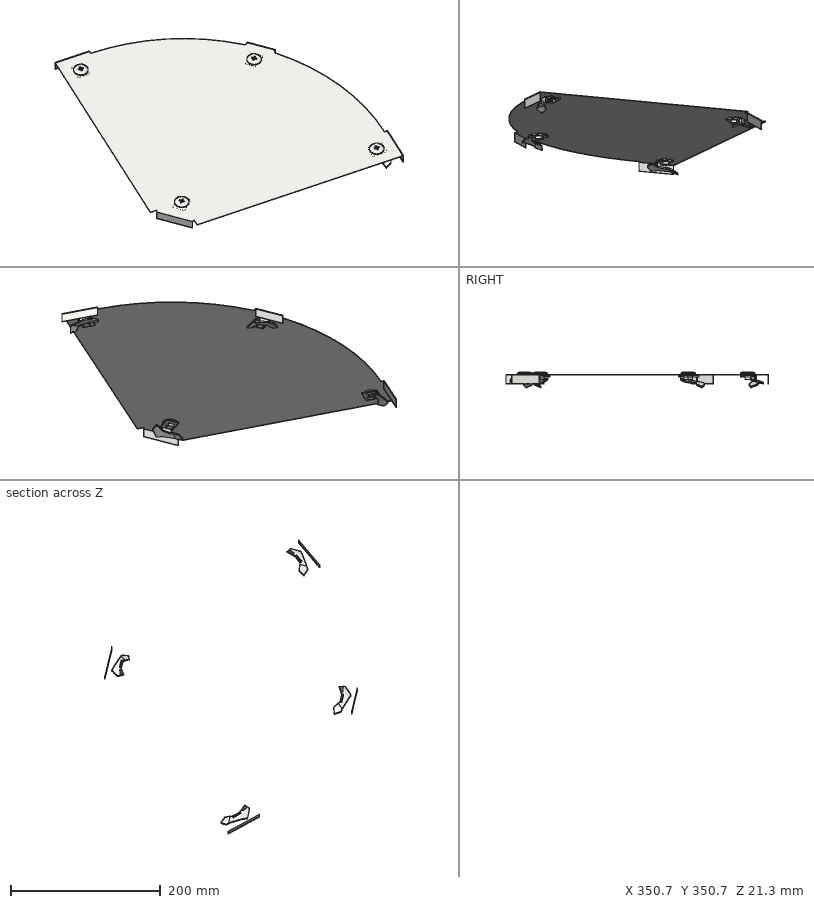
import cadquery as cq
import math

SIDE = 350.7

SHEET = 0.7
END_TAB_WIDTH = 50.5
ARC_RADIUS = 295.5
ARC_CENTRE = (SIDE - END_TAB_WIDTH, END_TAB_WIDTH)
DIAGONAL_TAB_REACH = 300.5
DIAGONAL_TAB_WIDTH = 40.0
NOTCH_FILLET = 3.5
FLANGE_DEPTH = 12.5
DIAGONAL_DIRECTION = 135
INNER_STEP = 47.0
INNER_LIP = 9.0
INNER_EDGE_INSET = 7.7
INNER_EDGE_END = 44.0

CORNER_INSET = 25.3
CORNER_SETBACK = 27.7
OUTER_INSET = 107.5
INNER_INSET = 45.5
FASTENERS = [
    (CORNER_SETBACK, CORNER_INSET, 0),
    (OUTER_INSET, SIDE - OUTER_INSET, -45),
    (SIDE - CORNER_INSET, SIDE - CORNER_SETBACK, -90),
    (SIDE - INNER_INSET, INNER_INSET, 135),
]

HEAD_RADIUS = 9.8
HEAD_TOP = 3.5
HEAD_BASE = 0.53
RIM_TOP = 1.8
HEAD_FLAT_RADIUS = 5.0
DOME_BULGE = 0.5
RECESS_SPAN = 7.0
RECESS_SLOT = 1.8
RECESS_DEPTH = 2.0
RECESS_TAPER = 15.0
SHANK_SIDE = 8.0
SHANK_END = -7.0
NECK_RADIUS = SHANK_SIDE / math.sqrt(2)

PAD_REACH = 9.8
PAD_WIDTH = 17.5
PAD_TOP = -1.58
PAD_THICKNESS = 1.8
LEG_OUTSIDE = 11.5
LEG_THICKNESS = 2.5
LEG_WIDTH = 12.5
LEG_END = -8.8
WING_THICKNESS = 1.93
WING_TILT = -11.0
WING_TURN = 45.0
WING_OUTLINE = [
    (-22.0, -6.3),
    (-14.7, -10.5),
    (-10.5, 2.0),
    (-2.0, 10.5),
    (8.5, 11.0),
    (12.3, 18.2),
    (4.2, 22.0),
    (-22.0, 7.7),
]
WING_TOP = [(-24.5, -9.8), (-14.7, -7.0), (1.0, -6.5), (17.5, -14.7)]
WING_SPAN = 70.0


def mirrored(point):
    """The same point on the other half of the lid."""
    x, y = point
    return (SIDE - y, SIDE - x)


def diagonal_box(near, far, width, bottom, top):
    """Box across the diagonal, from one distance to another from the arc centre."""
    box = (
        cq.Workplane("XY")
        .box(far - near, width, top - bottom, centered=(False, True, False))
        .translate((near, 0, bottom))
        .rotate((0, 0, 0), (0, 0, 1), DIAGONAL_DIRECTION)
    )
    return box.translate((*ARC_CENTRE, 0))


def lid_sheet():
    """Flat sheet with its two end tabs, its diagonal tab and its stepped inner corner."""
    half_chord = ARC_RADIUS / math.sqrt(2)
    arc_start = (ARC_CENTRE[0] - ARC_RADIUS, END_TAB_WIDTH)
    arc_middle = (ARC_CENTRE[0] - half_chord, ARC_CENTRE[1] + half_chord)
    relief = INNER_LIP - INNER_EDGE_INSET
    inner_corner = [
        (SIDE, INNER_STEP),
        (SIDE - INNER_LIP, INNER_STEP),
        (SIDE - INNER_LIP, INNER_EDGE_END + relief),
        (SIDE - INNER_EDGE_INSET, INNER_EDGE_END),
    ]
    outline = (
        cq.Workplane("XY")
        .moveTo(0, 0)
        .lineTo(0, END_TAB_WIDTH)
        .lineTo(*arc_start)
        .threePointArc(arc_middle, mirrored(arc_start))
        .lineTo(*mirrored((0, END_TAB_WIDTH)))
        .lineTo(SIDE, SIDE)
    )
    for point in inner_corner + [mirrored(point) for point in reversed(inner_corner)]:
        outline = outline.lineTo(*point)
    sheet = outline.close().extrude(-SHEET)
    tab = diagonal_box(ARC_RADIUS / 2, DIAGONAL_TAB_REACH, DIAGONAL_TAB_WIDTH, -SHEET, 0)
    return fillet_tab_roots(sheet.union(tab))


def fillet_tab_roots(sheet):
    """Round the two corners where the diagonal tab leaves the arc."""
    half_tab = DIAGONAL_TAB_WIDTH / 2
    root = math.sqrt(ARC_RADIUS**2 - half_tab**2)
    margin = NOTCH_FILLET / 2
    near_roots = diagonal_box(root - margin, root + margin, DIAGONAL_TAB_WIDTH + margin, -SHEET, 0).val()
    corners = [edge for edge in sheet.edges("|Z").vals() if near_roots.isInside(edge.Center())]
    return sheet.newObject(corners).fillet(NOTCH_FILLET)


def make_lid():
    """Sheet with a flange turned down at each tab and at the inner edge, and the neck holes."""
    end_flange = (
        cq.Workplane("XY")
        .box(SHEET, END_TAB_WIDTH, FLANGE_DEPTH, centered=False)
        .translate((0, 0, -FLANGE_DEPTH))
    )
    opposite_flange = end_flange.rotate((0, 0, 0), (0, 0, 1), -90).translate((ARC_CENTRE[0], SIDE, 0))
    diagonal_flange = diagonal_box(
        DIAGONAL_TAB_REACH - SHEET, DIAGONAL_TAB_REACH, DIAGONAL_TAB_WIDTH, -FLANGE_DEPTH, 0
    )
    inner_corner_x = SIDE - INNER_EDGE_INSET
    inner_reach = (ARC_CENTRE[0] - inner_corner_x + INNER_EDGE_END - ARC_CENTRE[1]) / math.sqrt(2)
    inner_width = (INNER_EDGE_END - INNER_EDGE_INSET) * math.sqrt(2)
    inner_flange = diagonal_box(inner_reach, inner_reach + SHEET, inner_width, -FLANGE_DEPTH, 0)

    lid = lid_sheet()
    for flange in (end_flange, opposite_flange, diagonal_flange, inner_flange):
        lid = lid.union(flange)
    holes = [(x, y) for x, y, turn in FASTENERS]
    neck_holes = cq.Workplane("XY").pushPoints(holes).circle(NECK_RADIUS).extrude(-SHEET)
    return lid.cut(neck_holes)


def make_screw():
    """Domed head with a cross recess, a round neck through the lid and a square shank."""
    dome_mid_radius = (HEAD_RADIUS + HEAD_FLAT_RADIUS) / 2
    dome_mid_height = (RIM_TOP + HEAD_TOP) / 2 + DOME_BULGE
    head = (
        cq.Workplane("XZ")
        .moveTo(0, HEAD_BASE)
        .lineTo(HEAD_RADIUS, HEAD_BASE)
        .lineTo(HEAD_RADIUS, RIM_TOP)
        .threePointArc((dome_mid_radius, dome_mid_height), (HEAD_FLAT_RADIUS, HEAD_TOP))
        .lineTo(0, HEAD_TOP)
        .close()
        .revolve(360, (0, 0, 0), (0, 1, 0))
    )
    neck = cq.Workplane("XY").circle(NECK_RADIUS).extrude(HEAD_BASE - PAD_TOP).translate((0, 0, PAD_TOP))
    shank = cq.Workplane("XY").rect(SHANK_SIDE, SHANK_SIDE).extrude(SHANK_END)
    recess_top = cq.Workplane("XY").workplane(offset=HEAD_TOP)
    screw = head.union(neck).union(shank)
    for length, width in ((RECESS_SPAN, RECESS_SLOT), (RECESS_SLOT, RECESS_SPAN)):
        screw = screw.cut(recess_top.rect(length, width).extrude(-RECESS_DEPTH, taper=RECESS_TAPER))
    return screw


def latch_wing():
    """Bent strip, tilted across its length and trimmed to its outline."""
    underside = [(along, height - WING_THICKNESS) for along, height in reversed(WING_TOP)]
    strip = (
        cq.Workplane("XZ")
        .polyline(WING_TOP + underside)
        .close()
        .extrude(WING_SPAN / 2, both=True)
        .rotate((0, 0, 0), (1, 0, 0), WING_TILT)
    )
    trim = cq.Workplane("XY").polyline(WING_OUTLINE).close().extrude(WING_SPAN, both=True)
    return strip.intersect(trim).rotate((0, 0, 0), (0, 0, 1), WING_TURN)


def make_latch():
    """Pad with a square hole for the shank, a leg bent down from it, and the wing at its foot."""
    pad = (
        cq.Workplane("XY")
        .box(LEG_OUTSIDE + PAD_REACH, PAD_WIDTH, PAD_THICKNESS, centered=(False, True, False))
        .translate((-LEG_OUTSIDE, 0, PAD_TOP - PAD_THICKNESS))
    )
    leg = (
        cq.Workplane("XY")
        .box(LEG_THICKNESS, LEG_WIDTH, PAD_TOP - LEG_END, centered=(False, True, False))
        .translate((-LEG_OUTSIDE, 0, LEG_END))
    )
    shank_hole = cq.Workplane("XY").rect(SHANK_SIDE, SHANK_SIDE).extrude(SHANK_END)
    return pad.union(leg).cut(shank_hole).union(latch_wing())


def placed(body, fastener):
    """Turn a fastener part about Z and move it to its hole."""
    x, y, turn = fastener
    return body.rotate((0, 0, 0), (0, 0, 1), turn).translate((x, y, 0))


lid = make_lid()
screw = make_screw()
latch = make_latch()
screws = [placed(screw, fastener).solids().val() for fastener in FASTENERS]
latches = [placed(latch, fastener).solids().val() for fastener in FASTENERS]

result = cq.Compound.makeCompound([lid.solids().val(), *screws, *latches])